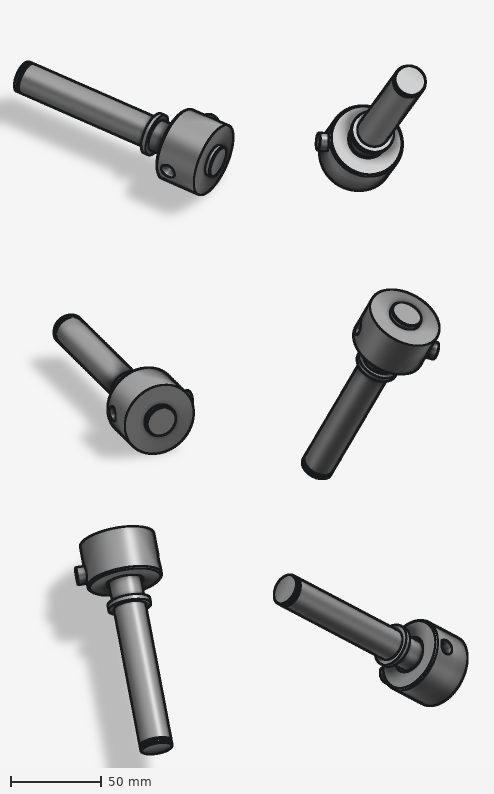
import cadquery as cq

SHAFT_LENGTH = 128.0
SHAFT_DIAMETER = 18.0
SHAFT_END_CHAMFER = 0.5

GROOVE_START = 2.0
GROOVE_WIDTH = 1.2
GROOVE_DEPTH = 0.5

FLANGE_START = 85.0
FLANGE_WIDTH = 3.0
FLANGE_DIAMETER = 24.0

COLLAR_START = 100.0
COLLAR_LENGTH = 25.0
COLLAR_DIAMETER = 42.0
COLLAR_CHAMFER = 1.0
BORE_CHAMFER = 1.5

SCREW_DISTANCE = 8.0
SCREW_DIAMETER = 10.0
SCREW_PROTRUSION = 5.0
SCREW_CHAMFER = 0.5

OPEN_HOLE_DIAMETER = 8.7

collar_radius = COLLAR_DIAMETER / 2
screw_x = COLLAR_START + SCREW_DISTANCE
screw_tip_y = collar_radius + SCREW_PROTRUSION


def disc(start_x, length, diameter):
    """Cylinder along +X starting at start_x."""
    return cq.Workplane("YZ", origin=(start_x, 0, 0)).circle(diameter / 2).extrude(length)


def radial_cylinder(start_y, end_y, diameter):
    """Cylinder along +Y on the screw axis."""
    plane = cq.Plane(origin=(screw_x, start_y, 0), xDir=(1, 0, 0), normal=(0, 1, 0))
    return cq.Workplane(plane).circle(diameter / 2).extrude(end_y - start_y)


def make_shaft():
    """Plain shaft with chamfered ends, a retaining-ring groove and an integral flange."""
    shaft = disc(0, SHAFT_LENGTH, SHAFT_DIAMETER)
    shaft = shaft.faces("<X or >X").chamfer(SHAFT_END_CHAMFER)
    groove_core = disc(GROOVE_START, GROOVE_WIDTH, SHAFT_DIAMETER - 2 * GROOVE_DEPTH)
    groove = disc(GROOVE_START, GROOVE_WIDTH, SHAFT_DIAMETER).cut(groove_core)
    flange = disc(FLANGE_START, FLANGE_WIDTH, FLANGE_DIAMETER)
    return shaft.cut(groove).union(flange)


def make_bore():
    """Cutter for the collar bore, a close fit on the shaft."""
    return disc(COLLAR_START, COLLAR_LENGTH, SHAFT_DIAMETER)


def make_collar():
    """Collar with a chamfered shaft bore, the screw hole and the opposite open hole."""
    collar = disc(COLLAR_START, COLLAR_LENGTH, COLLAR_DIAMETER)
    collar = collar.faces("<X").chamfer(COLLAR_CHAMFER)
    collar = collar.cut(make_bore())
    bore_rim = collar.faces("<X").edges(cq.selectors.RadiusNthSelector(0))
    collar = bore_rim.chamfer(BORE_CHAMFER)
    screw_hole = radial_cylinder(0, collar_radius, SCREW_DIAMETER)
    open_hole = radial_cylinder(-collar_radius, 0, OPEN_HOLE_DIAMETER)
    return collar.cut(screw_hole).cut(open_hole)


def make_screw():
    """Radial screw seated on the shaft, with a chamfered outer end.

    Its inner end follows the round of the shaft, so it meets the shaft without overlap.
    """
    screw = radial_cylinder(0, screw_tip_y, SCREW_DIAMETER)
    screw = screw.faces(">Y").chamfer(SCREW_CHAMFER)
    return screw.cut(make_bore())


shaft = make_shaft()
collar = make_collar()
screw = make_screw()

result = cq.Compound.makeCompound([shaft.val(), collar.val(), screw.val()])